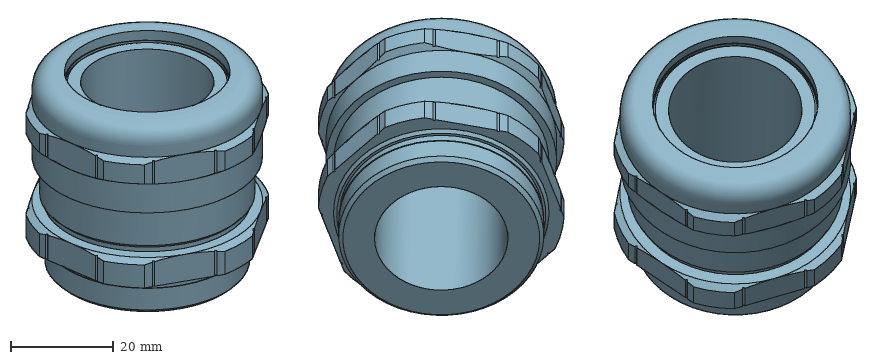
import cadquery as cq
import math

CORNER_RADIUS = 24.0
ACROSS_FLATS = 45.0
HEX_SIDES = 6
HEX_HEIGHT = 6.0
HEX_CHAMFER_ANGLE = 30.0
FLAT_GROOVE_OFFSET = 6.45
FLAT_GROOVE_RADIUS = 0.25

TOTAL_HEIGHT = 43.0
THREAD_TOP = 5.65
COLLAR_BOTTOM = 7.4
BODY_HEX_BOTTOM = 8.0
NECK_TOP = 15.0
SHOULDER_TOP = 24.0
CAP_HEX_BOTTOM = 30.5
TUBE_TOP = 40.6
MOUTH_BOTTOM = 40.85

BORE_RADIUS = 13.0
TUBE_RADIUS = 16.0
MOUTH_RADIUS = 16.15
THREAD_RADIUS = 20.0
RELIEF_RADIUS = 19.85
NECK_RADIUS = 20.2
SHOULDER_RADIUS = 21.0
CAP_RADIUS = ACROSS_FLATS / 2

BOTTOM_CHAMFER = 0.8
TUBE_CHAMFER = 0.4
CAP_ROUND = 4.0

BODY_HEX_TOP = BODY_HEX_BOTTOM + HEX_HEIGHT
COLLAR_TAPER = BODY_HEX_BOTTOM - COLLAR_BOTTOM
NECK_TAPER = SHOULDER_RADIUS - NECK_RADIUS
HEX_CHAMFER_HEIGHT = (CORNER_RADIUS - CAP_RADIUS) * math.tan(math.radians(HEX_CHAMFER_ANGLE))


def cylinder(radius, bottom, top):
    return cq.Workplane("XY").workplane(offset=bottom).circle(radius).extrude(top - bottom)


def revolve_profile(profile):
    """Turn a closed radius-height outline around the Z axis."""
    return profile.close().revolve(360, (0, 0, 0), (0, 1, 0))


def turned_blank(bottom, chamfer_bottom):
    """Disc with a conical chamfer on top and, if asked, underneath."""
    top = bottom + HEX_HEIGHT
    profile = (
        cq.Workplane("XZ")
        .moveTo(0, top)
        .lineTo(CAP_RADIUS, top)
        .lineTo(CORNER_RADIUS, top - HEX_CHAMFER_HEIGHT)
    )
    if chamfer_bottom:
        profile = profile.lineTo(CORNER_RADIUS, bottom + HEX_CHAMFER_HEIGHT).lineTo(CAP_RADIUS, bottom)
    else:
        profile = profile.lineTo(CORNER_RADIUS, bottom)
    return revolve_profile(profile.lineTo(0, bottom))


def cut_flat_grooves(hexagon_solid, bottom):
    """Cut two shallow upright round grooves into each of the six flats."""
    apothem = ACROSS_FLATS / 2
    for side in range(HEX_SIDES):
        for offset in (-FLAT_GROOVE_OFFSET, FLAT_GROOVE_OFFSET):
            groove = cylinder(FLAT_GROOVE_RADIUS, bottom, bottom + HEX_HEIGHT).translate((offset, apothem, 0))
            hexagon_solid = hexagon_solid.cut(groove.rotate((0, 0, 0), (0, 0, 1), side * 360 / HEX_SIDES))
    return hexagon_solid


def hexagon(bottom, chamfer_bottom):
    """Wrench hexagon with corners on the X axis, turned corners and grooved flats."""
    corner_distance = ACROSS_FLATS / math.cos(math.pi / HEX_SIDES)
    prism = cq.Workplane("XY").workplane(offset=bottom).polygon(HEX_SIDES, corner_distance).extrude(HEX_HEIGHT)
    return cut_flat_grooves(prism.intersect(turned_blank(bottom, chamfer_bottom)), bottom)


def build_body():
    """Threaded body with its hexagon, shoulder and the inner tube that carries the cap nut."""
    turned = revolve_profile(
        cq.Workplane("XZ")
        .moveTo(0, 0)
        .lineTo(THREAD_RADIUS - BOTTOM_CHAMFER, 0)
        .lineTo(THREAD_RADIUS, BOTTOM_CHAMFER)
        .lineTo(THREAD_RADIUS, THREAD_TOP)
        .lineTo(RELIEF_RADIUS, THREAD_TOP)
        .lineTo(RELIEF_RADIUS, COLLAR_BOTTOM)
        .lineTo(SHOULDER_RADIUS - COLLAR_TAPER, COLLAR_BOTTOM)
        .lineTo(SHOULDER_RADIUS, BODY_HEX_BOTTOM)
        .lineTo(NECK_RADIUS, BODY_HEX_TOP)
        .lineTo(NECK_RADIUS, NECK_TOP)
        .lineTo(SHOULDER_RADIUS, NECK_TOP + NECK_TAPER)
        .lineTo(SHOULDER_RADIUS, SHOULDER_TOP)
        .lineTo(TUBE_RADIUS, SHOULDER_TOP)
        .lineTo(TUBE_RADIUS, TUBE_TOP - TUBE_CHAMFER)
        .lineTo(TUBE_RADIUS - TUBE_CHAMFER, TUBE_TOP)
        .lineTo(0, TUBE_TOP)
    )
    solid = turned.union(hexagon(BODY_HEX_BOTTOM, chamfer_bottom=False))
    return solid.cut(cylinder(BORE_RADIUS, 0, TOTAL_HEIGHT))


def build_cap_nut():
    """Domed cap nut with its hexagon, bored to fit around the inner tube of the body."""
    shell = cylinder(CAP_RADIUS, SHOULDER_TOP, TOTAL_HEIGHT).faces(">Z").edges().fillet(CAP_ROUND)
    solid = shell.union(hexagon(CAP_HEX_BOTTOM, chamfer_bottom=True))
    bored = solid.cut(cylinder(TUBE_RADIUS, SHOULDER_TOP, TOTAL_HEIGHT))
    return bored.cut(cylinder(MOUTH_RADIUS, MOUTH_BOTTOM, TOTAL_HEIGHT))


body = build_body()
cap_nut = build_cap_nut()

result = cq.Compound.makeCompound([body.val(), cap_nut.val()])